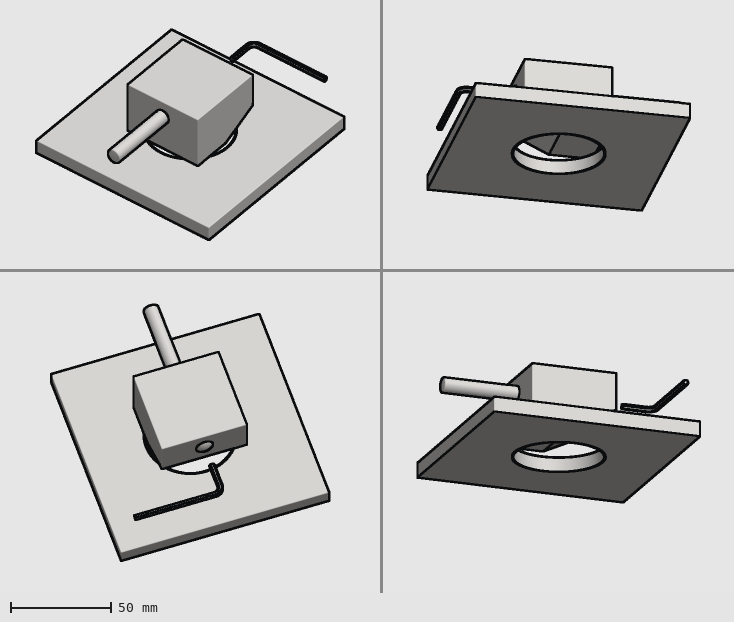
import cadquery as cq
import math

plate_size = 110.0
plate_thickness = 8.0
opening_radius = 23.5
opening_fillet = 0.5

ring_wall = 0.7
ring_fillet = 0.5

block_size = 45.0
block_height = 30.0
block_gap = 2.0
slope_rise = 10.6

edge_fillet = 0.5

lever_radius = 4.0
lever_drop = 9.3
lever_tip_y = -62.5
lever_dome_height = 0.6
lever_rim_fillet = 0.6

plug_radius = 4.5
plug_height = 1.9

key_flats = 2.5
key_bend_radius = 4.0
key_short_tip_y = 33.8
key_long_leg_y = 50.5
key_long_tip_x = 46.2

block_bottom = plate_thickness + block_gap
block_top = block_bottom + block_height
block_face = block_size / 2
lever_z = block_top - lever_drop


def make_plate():
    plate = cq.Workplane("XY").rect(plate_size, plate_size).extrude(plate_thickness)
    plate = plate.edges("|Z or >Z").fillet(edge_fillet)
    opening = cq.Workplane("XY").circle(opening_radius).extrude(plate_thickness)
    return plate.cut(opening).faces(">Z").edges("%CIRCLE").fillet(opening_fillet)


def make_liner_ring():
    inner_radius = opening_radius - ring_wall
    return (
        cq.Workplane("XY")
        .circle(opening_radius)
        .circle(inner_radius)
        .extrude(plate_thickness - opening_fillet)
        .faces(">Z")
        .edges(cq.selectors.RadiusNthSelector(0))
        .fillet(ring_fillet)
    )


def make_block():
    block = (
        cq.Workplane("XY", origin=(0, 0, block_bottom))
        .rect(block_size, block_size)
        .extrude(block_height)
        .edges("|Z or >Z")
        .fillet(edge_fillet)
    )
    slope = (
        cq.Workplane("YZ", origin=(-block_face, 0, 0))
        .moveTo(0, block_bottom)
        .lineTo(block_face, block_bottom)
        .lineTo(block_face, block_bottom + slope_rise)
        .close()
        .extrude(block_size)
    )
    return block.cut(slope)


def make_cap(radius, height):
    """Spherical cap on the XZ plane, bulging toward +Y."""
    sphere_radius = (radius**2 + height**2) / (2 * height)
    half_angle = math.asin(radius / sphere_radius) / 2
    mid_radius = sphere_radius * math.sin(half_angle)
    mid_height = height - sphere_radius * (1 - math.cos(half_angle))
    return (
        cq.Workplane("XY")
        .lineTo(radius, 0)
        .threePointArc((mid_radius, mid_height), (0, height))
        .close()
        .revolve(360, (0, 0, 0), (0, 1, 0))
    )


def make_lever():
    rim_y = lever_tip_y + lever_dome_height
    dome = make_cap(lever_radius, lever_dome_height).mirror("XZ").translate((0, rim_y, lever_z))
    return (
        cq.Workplane("XZ", origin=(0, -block_face, lever_z))
        .circle(lever_radius)
        .extrude(-block_face - rim_y)
        .union(dome)
        .edges(cq.selectors.NearestToPointSelector((0, rim_y, lever_z)))
        .fillet(lever_rim_fillet)
    )


def make_plug():
    return make_cap(plug_radius, plug_height).translate((0, block_face, lever_z))


def make_hex_key():
    bend_start_y = key_long_leg_y - key_bend_radius
    path = (
        cq.Workplane("XY", origin=(0, 0, lever_z))
        .moveTo(0, key_short_tip_y)
        .lineTo(0, bend_start_y)
        .tangentArcPoint((key_bend_radius, key_long_leg_y), relative=False)
        .lineTo(key_long_tip_x, key_long_leg_y)
    )
    across_corners = key_flats / math.cos(math.pi / 6)
    return (
        cq.Workplane("XZ", origin=(0, key_short_tip_y, lever_z))
        .polygon(6, across_corners)
        .sweep(path)
    )


plate = make_plate()
liner_ring = make_liner_ring()
block = make_block()
lever = make_lever()
plug = make_plug()
hex_key = make_hex_key()

result = cq.Compound.makeCompound(
    [plate.val(), liner_ring.val(), block.val(), lever.val(), plug.val(), hex_key.val()]
)